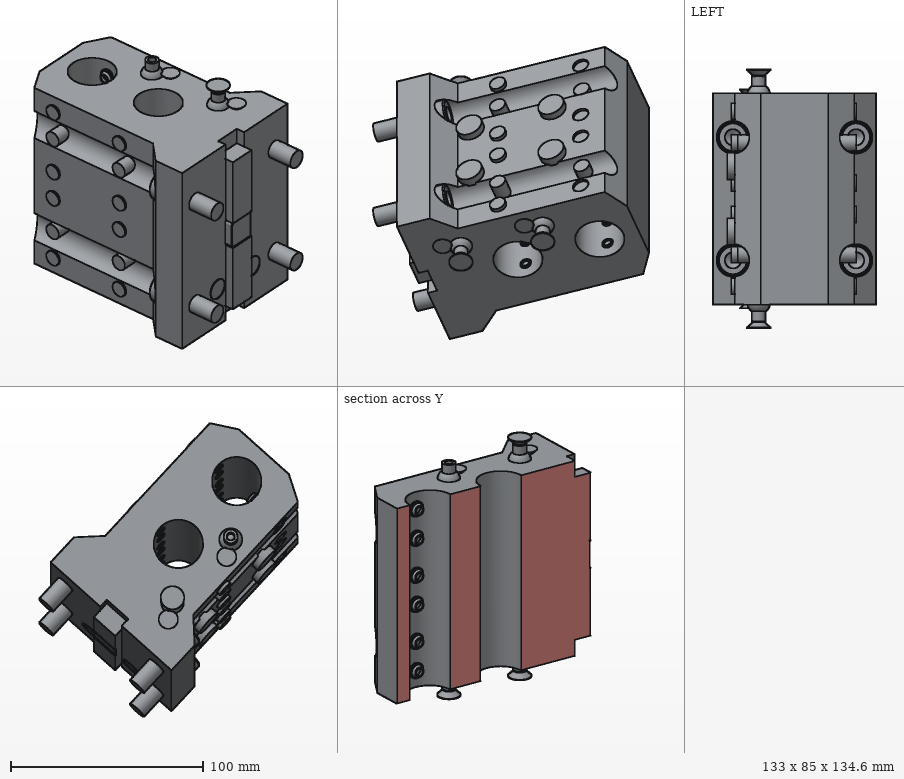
import cadquery as cq
import math

HEIGHT = 110.0
MOUNT_X = 118.0
FLANGE_WIDTH = 85.0
BLOCK_WIDTH = 62.0
SHOULDER_END_X = 100.0
NOSE_CHAMFER = 7.7
NOSE_ANGLE = math.radians(60)

BORE_DIAMETER = 25.6
BORE_SPACING = 45.0
FRONT_BORE_X = 21.0
BORE_XS = (FRONT_BORE_X, FRONT_BORE_X + BORE_SPACING)

SCREW_OFFSET = 32.0
CHANNEL_DIAMETER = 17.0
HEAD_DIAMETER = 16.0
HEAD_LENGTH = 10.0
HEAD_START_X = 93.0
HEAD_CHAMFER = 0.8
SOCKET_DIAMETER = 8.4
SOCKET_DEPTH = 4.0
SOCKET_POINT = 2.5
SHANK_DIAMETER = 10.0
SHANK_PROJECTION = 15.0

SET_SCREW_ZS = (8.2, 29.0, 45.5)
SET_SCREW_DIAMETER = 8.5
SET_SCREW_LENGTH = 20.0
TIP_DIAMETER = 7.3
TIP_LENGTH = 2.3
TIP_TAPER_LENGTH = 1.6
TIP_END_DIAMETER = 5.5
TIP_SOCKET_DIAMETER = 4.0
TIP_SOCKET_DEPTH = 2.0
NEAR_PROJECTION = 1.0
FAR_PROJECTION = 2.0
FAR_RECESS = 1.4

PLUG_DIAMETER = 14.0
PLUG_PROJECTION = 4.0
PLUG_Z = 17.0
PLUG_SHIFT = 15.0

NOZZLE_SHIFT = 25.0
NOZZLE_Y = 18.6
BALL_RADIUS = 6.1
BALL_DEPTH = 1.3
NECK_RADIUS = 3.65
NECK_END = 8.6
THROAT_RADIUS = 3.2
THROAT_END = 9.2
RIM_RADIUS = 6.15
RIM_START = 11.9
NOZZLE_END = 12.31
NECK_BORE_DIAMETER = 4.2
NECK_BORE_DEPTH = 5.0

CONE_RADIUS = 5.0
CONE_PROJECTION = 2.0
LOW_CONE_PROJECTION = 1.6
CONE_SHIFT_X = 8.4
CONE_SHIFT_Y = 4.8

KEY_WIDTH = 15.0
KEY_DEPTH = 5.0
KEY_LENGTH = 92.0
KEY_GAP = 15.5
KEY_BLOCK_STEP = 0.4
KEY_BLOCK_FILLET = 1.9
KEY_BLOCK_PROJECTION = 4.7
KEY_BLOCK_CHAMFER = 0.4

SEAL_DIAMETER = 11.4
SEAL_THICKNESS = 0.4
SEAL_Y = 14.1

EMBED = 1.0


def rod_x(diameter, start_x, end_x, y, z):
    """Cylinder along X."""
    plane = cq.Workplane("YZ", origin=(start_x, 0, 0))
    return plane.center(y, z).circle(diameter / 2).extrude(end_x - start_x)


def make_body():
    half_block = BLOCK_WIDTH / 2
    half_flange = FLANGE_WIDTH / 2
    half_nose = half_block - NOSE_CHAMFER * math.tan(NOSE_ANGLE)
    shoulder_x = SHOULDER_END_X - (half_flange - half_block)
    outline = [
        (0, half_nose),
        (NOSE_CHAMFER, half_block),
        (shoulder_x, half_block),
        (SHOULDER_END_X, half_flange),
        (MOUNT_X, half_flange),
        (MOUNT_X, 0),
        (0, 0),
    ]
    half = cq.Workplane("XY").polyline(outline).close().extrude(HEIGHT / 2, both=True)
    body = half.union(half.mirror("XZ"))
    bores = cq.Workplane("XY").pushPoints([(x, 0) for x in BORE_XS])
    return body.cut(bores.circle(BORE_DIAMETER / 2).extrude(HEIGHT / 2, both=True))


def make_mounting_screw(y, z):
    head_end_x = HEAD_START_X + HEAD_LENGTH
    head = rod_x(HEAD_DIAMETER, HEAD_START_X, head_end_x, y, z)
    head = head.faces("<X").chamfer(HEAD_CHAMFER)
    floor_x = HEAD_START_X + SOCKET_DEPTH
    socket = rod_x(SOCKET_DIAMETER, HEAD_START_X, floor_x, y, z)
    point = cq.Solid.makeCone(
        SOCKET_DIAMETER / 2, 0, SOCKET_POINT, cq.Vector(floor_x, y, z), cq.Vector(1, 0, 0)
    )
    shank = rod_x(SHANK_DIAMETER, head_end_x - EMBED, MOUNT_X + SHANK_PROJECTION, y, z)
    return head.cut(socket).cut(cq.Workplane(point)).union(shank)


def add_mounting_screws(body):
    places = [(y, z) for y in (-SCREW_OFFSET, SCREW_OFFSET) for z in (-SCREW_OFFSET, SCREW_OFFSET)]
    for y, z in places:
        body = body.cut(rod_x(CHANNEL_DIAMETER, 0, HEAD_START_X + HEAD_LENGTH, y, z))
    for y, z in places:
        body = body.union(make_mounting_screw(y, z))
    return body


def make_set_screw(x, z, side, projection):
    """Set screw on the +Y (side = 1) or -Y (side = -1) block face, its tip towards the bore."""
    outer = BLOCK_WIDTH / 2 + projection
    tip = outer - SET_SCREW_LENGTH
    radius = SET_SCREW_DIAMETER / 2
    tip_radius = TIP_DIAMETER / 2
    profile = [
        (0, outer),
        (radius, outer),
        (radius, tip + TIP_LENGTH),
        (tip_radius, tip + TIP_LENGTH),
        (tip_radius, tip + TIP_TAPER_LENGTH),
        (TIP_END_DIAMETER / 2, tip),
        (TIP_SOCKET_DIAMETER / 2, tip),
        (TIP_SOCKET_DIAMETER / 2, tip + TIP_SOCKET_DEPTH),
        (0, tip + TIP_SOCKET_DEPTH),
    ]
    screw = cq.Workplane("XY").polyline(profile).close().revolve(360, (0, 0, 0), (0, 1, 0))
    if side < 0:
        screw = screw.mirror("XZ")
    return screw.translate((x, 0, z))


def cut_set_screw_recess(body, x, z):
    """Shallow hole above a set screw that ends below the +Y block face."""
    plane = cq.Workplane("XZ", origin=(x, BLOCK_WIDTH / 2, z))
    return body.cut(plane.circle(SET_SCREW_DIAMETER / 2).extrude(FAR_RECESS))


def add_set_screws(body):
    front_x, rear_x = BORE_XS
    for z in [sign * level for sign in (-1, 1) for level in SET_SCREW_ZS]:
        body = cut_set_screw_recess(body, front_x, z)
        body = body.union(make_set_screw(front_x, z, 1, -FAR_RECESS))
        body = body.union(make_set_screw(rear_x, z, 1, FAR_PROJECTION))
        for x in BORE_XS:
            body = body.union(make_set_screw(x, z, -1, NEAR_PROJECTION))
    return body


def add_plugs(body):
    for x in [bore_x + PLUG_SHIFT for bore_x in BORE_XS]:
        for z in (-PLUG_Z, PLUG_Z):
            plane = cq.Workplane("XZ", origin=(x, BLOCK_WIDTH / 2 + PLUG_PROJECTION, z))
            body = body.union(plane.circle(PLUG_DIAMETER / 2).extrude(PLUG_PROJECTION + EMBED))
    return body


def make_nozzle(has_cone):
    """Nozzle standing on Z = 0: a ball and a neck, with a flared cone or an open bore on the neck."""
    ball = cq.Workplane("XY").sphere(BALL_RADIUS).translate((0, 0, -BALL_DEPTH))
    profile = [(0, 0), (NECK_RADIUS, 0), (NECK_RADIUS, NECK_END)]
    if has_cone:
        profile += [
            (THROAT_RADIUS, NECK_END),
            (THROAT_RADIUS, THROAT_END),
            (RIM_RADIUS, RIM_START),
            (RIM_RADIUS, NOZZLE_END),
            (0, NOZZLE_END),
        ]
    else:
        bore_radius = NECK_BORE_DIAMETER / 2
        bore_floor = NECK_END - NECK_BORE_DEPTH
        profile += [(bore_radius, NECK_END), (bore_radius, bore_floor), (0, bore_floor)]
    neck = cq.Workplane("XZ").polyline(profile).close().revolve(360, (0, 0, 0), (0, 1, 0))
    return ball.union(neck)


def make_countersunk_screw(projection):
    """90 degree cone widening away from Z = 0, its small end buried in the body."""
    small_radius = CONE_RADIUS - projection - EMBED
    cone = cq.Solid.makeCone(small_radius, CONE_RADIUS, projection + EMBED)
    return cq.Workplane(cone).translate((0, 0, -EMBED))


def add_nozzles(body):
    front_x = BORE_XS[0]
    for bore_x in BORE_XS:
        for on_top in (True, False):
            is_open = on_top and bore_x == front_x
            projection = LOW_CONE_PROJECTION if is_open else CONE_PROJECTION
            screw = make_countersunk_screw(projection).translate((CONE_SHIFT_X, CONE_SHIFT_Y, 0))
            nozzle = make_nozzle(not is_open).union(screw)
            nozzle = nozzle.translate((bore_x + NOZZLE_SHIFT, NOZZLE_Y, HEIGHT / 2))
            if not on_top:
                nozzle = nozzle.mirror("XY")
            body = body.union(nozzle)
    return body


def make_key_block():
    """Block in the gap of the key, its rounded -Y side standing slightly proud of the key flank."""
    thickness = KEY_WIDTH + KEY_BLOCK_STEP
    block = cq.Workplane("XY").box(KEY_BLOCK_PROJECTION + EMBED, thickness, KEY_GAP)
    block = block.edges("<Y and |X").fillet(KEY_BLOCK_FILLET)
    block = block.faces(">X").chamfer(KEY_BLOCK_CHAMFER)
    return block.translate((MOUNT_X + (KEY_BLOCK_PROJECTION - EMBED) / 2, -KEY_BLOCK_STEP / 2, 0))


def add_key(body):
    keyway = cq.Workplane("XY").box(2 * KEY_DEPTH, KEY_WIDTH, HEIGHT).translate((MOUNT_X, 0, 0))
    key = cq.Workplane("XY").box(2 * KEY_DEPTH, KEY_WIDTH, KEY_LENGTH).translate((MOUNT_X, 0, 0))
    gap = cq.Workplane("XY").box(KEY_DEPTH, KEY_WIDTH, KEY_GAP)
    gap = gap.translate((MOUNT_X + KEY_DEPTH / 2, 0, 0))
    body = body.cut(keyway).union(key.cut(gap)).union(make_key_block())
    for y in (-SEAL_Y, SEAL_Y):
        body = body.union(rod_x(SEAL_DIAMETER, MOUNT_X - EMBED, MOUNT_X + SEAL_THICKNESS, y, -SCREW_OFFSET))
    return body


result = make_body()
result = add_mounting_screws(result)
result = add_set_screws(result)
result = add_plugs(result)
result = add_nozzles(result)
result = add_key(result)